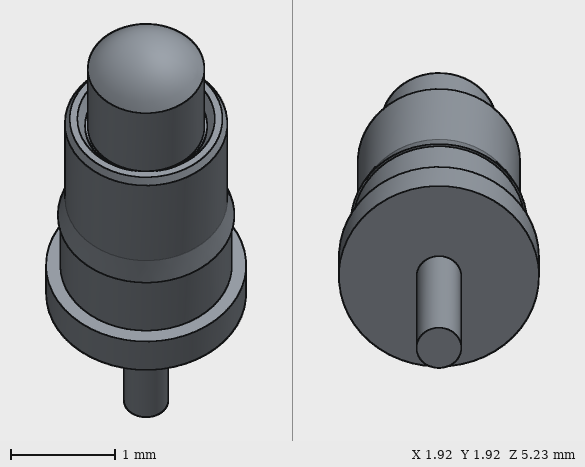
import cadquery as cq
import math

total_height = 5.23
flange_bottom = 1.59
flange_top = 2.015
barb_bottom = 2.755
barb_top = 3.005
barrel_top = 4.19
dome_height = 0.295

tail_diameter = 0.43
flange_diameter = 1.92
lower_barrel_diameter = 1.65
barb_diameter = 1.695
upper_barrel_diameter = 1.56
plunger_diameter = 1.12

rim_chamfer_width = 0.045
rim_chamfer_height = 0.07
mouth_diameter = 1.32
bore_diameter = 1.17
countersink_depth = 0.1
bore_depth = 0.115

tail_radius = tail_diameter / 2
flange_radius = flange_diameter / 2
lower_barrel_radius = lower_barrel_diameter / 2
barb_radius = barb_diameter / 2
upper_barrel_radius = upper_barrel_diameter / 2
plunger_radius = plunger_diameter / 2
mouth_radius = mouth_diameter / 2
bore_radius = bore_diameter / 2

dome_base = total_height - dome_height
sphere_radius = (plunger_radius**2 + dome_height**2) / (2 * dome_height)
sphere_center = total_height - sphere_radius
half_cap_angle = math.asin(plunger_radius / sphere_radius) / 2
dome_midpoint = (
    sphere_radius * math.sin(half_cap_angle),
    sphere_center + sphere_radius * math.cos(half_cap_angle),
)

half_section = (
    cq.Workplane("XZ")
    .moveTo(0, 0)
    .lineTo(tail_radius, 0)
    .lineTo(tail_radius, flange_bottom)
    .lineTo(flange_radius, flange_bottom)
    .lineTo(flange_radius, flange_top)
    .lineTo(lower_barrel_radius, flange_top)
    .lineTo(lower_barrel_radius, barb_bottom)
    .lineTo(barb_radius, barb_bottom)
    .lineTo(upper_barrel_radius, barb_top)
    .lineTo(upper_barrel_radius, barrel_top - rim_chamfer_height)
    .lineTo(upper_barrel_radius - rim_chamfer_width, barrel_top)
    .lineTo(mouth_radius, barrel_top)
    .lineTo(bore_radius, barrel_top - countersink_depth)
    .lineTo(bore_radius, barrel_top - bore_depth)
    .lineTo(plunger_radius, barrel_top - bore_depth)
    .lineTo(plunger_radius, dome_base)
    .threePointArc(dome_midpoint, (0, total_height))
    .close()
)

result = half_section.revolve(360, (0, 0), (0, 1))